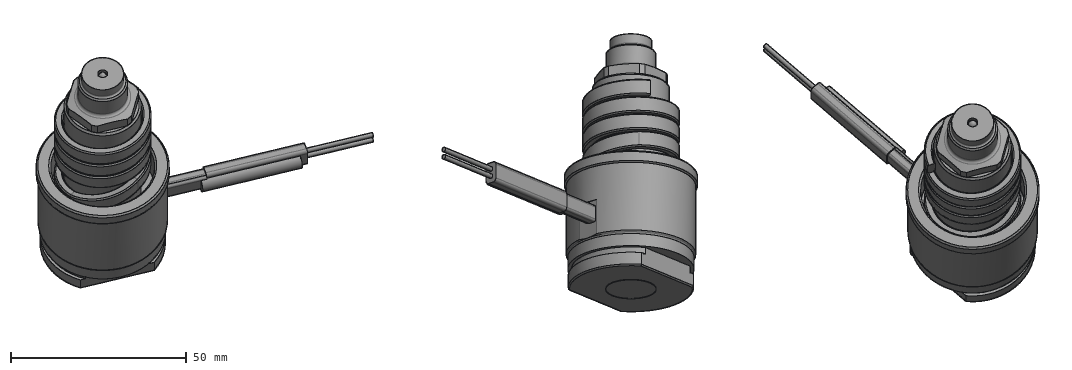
import cadquery as cq
import math

TOTAL_HEIGHT = 76.2
PAD_TOP = 0.2
BASE_DISC_TOP = 4.2
NECK_TOP = 6.2
STEP_RING_TOP = 9.9
BODY_BOTTOM = 10.4
FLANGE_BOTTOM = 32.0
FLANGE_TOP = 35.2
CORE_TOP = 62.3
CONE_BOTTOM = 65.3
CONE_TOP = 65.9
SHOULDER_LEVEL = 72.8

PAD_RADIUS = 7.2
BASE_RADIUS = 17.9
STEP_RING_RADIUS = 18.0
NECK_RADIUS = 17.0
STEP_RING_TOP_RADIUS = 18.2
BODY_RADIUS = 18.5
FLANGE_RADIUS = 19.0
CORE_RADIUS = 11.0
HEX_CORNER_RADIUS = 10.5
STEM_RADIUS = 7.1
TIP_RADIUS = 6.0

EDGE_CHAMFER = 0.4
FLANGE_CHAMFER = 0.5
CORE_CHAMFER = 0.6

BASE_FLAT_OFFSET = 14.1
BORE_RADIUS = 14.8
BORE_CHAMFER = 0.6
BORE_FLOOR = 25.0
CABLE_FLAT_OFFSET = 18.2
CABLE_FLAT_TOP = 21.3

HEX_ACROSS_FLATS = 19.0
STEM_FILLET = 0.9
STEM_CHAMFER = 0.5
TIP_FILLET = 0.6
CENTRE_HOLE_RADIUS = 1.4
BALL_RADIUS = 1.3

SPRING_OUTER_RADIUS = 13.8
SPRING_INNER_RADIUS = 11.4
SPRING_WIRE_HEIGHT = 4.8
SPRING_CHAMFER = 0.4
SPRING_TOP_LEVEL = 59.5
SPRING_TOP_ANGLE = 156.0
CLOSED_PITCH = 5.3
SPRING_STRETCHES = [
    (CLOSED_PITCH, 3.04),
    (11.0, 0.31),
    (24.0, 0.25),
    (10.0, 0.55),
]

CABLE_ROOT = 16.0
CABLE_X = -1.4
CABLE_Z = 17.2
CABLE_WIDTH = 3.0
CABLE_HEIGHT = 5.1
CABLE_FILLET = 0.7
SIDE_CABLE_SHIFT = 0.7
SIDE_CABLE_HEIGHT = 4.8
SLEEVE_WIDTH = 3.8
SLEEVE_HEIGHT = 6.2
SLEEVE_FILLET = 1.0
SLEEVE_START = 30.9
SLEEVE_END = 61.0
ROUND_SLEEVE_RADIUS = 2.3
ROUND_SLEEVE_X = 0.2
ROUND_SLEEVE_Z = 16.7
ROUND_SLEEVE_START = 29.1
ROUND_SLEEVE_END = 58.8
WIRE_RADIUS = 0.7
WIRE_SPACING = 2.2
OVERALL_LENGTH = 100.0
WIRE_END = OVERALL_LENGTH - FLANGE_RADIUS


def disc(radius, bottom, top):
    return cq.Workplane("XY", origin=(0, 0, bottom)).circle(radius).extrude(top - bottom)


def make_base():
    """Bottom pad, base disc and neck, with two parallel flats."""
    base = disc(BASE_RADIUS, PAD_TOP, BASE_DISC_TOP).union(disc(NECK_RADIUS, PAD_TOP, NECK_TOP))
    across_flats = cq.Workplane("XY").box(2 * BASE_FLAT_OFFSET, 2 * FLANGE_RADIUS, 2 * NECK_TOP)
    base = base.intersect(across_flats).faces("<Z").chamfer(EDGE_CHAMFER)
    return base.union(disc(PAD_RADIUS, 0, PAD_TOP))


def make_housing():
    """Cup with a flange at its mouth, stepped bottom and a shallow flat at the cable outlet."""
    flange_edge = FLANGE_RADIUS - FLANGE_CHAMFER
    outline = [
        (0, NECK_TOP),
        (STEP_RING_RADIUS, NECK_TOP),
        (STEP_RING_RADIUS, STEP_RING_TOP),
        (STEP_RING_TOP_RADIUS, BODY_BOTTOM),
        (BODY_RADIUS, BODY_BOTTOM + EDGE_CHAMFER),
        (BODY_RADIUS, FLANGE_BOTTOM - EDGE_CHAMFER),
        (FLANGE_RADIUS, FLANGE_BOTTOM),
        (FLANGE_RADIUS, FLANGE_TOP - FLANGE_CHAMFER),
        (flange_edge, FLANGE_TOP),
        (BORE_RADIUS + BORE_CHAMFER, FLANGE_TOP),
        (BORE_RADIUS, FLANGE_TOP - BORE_CHAMFER),
        (BORE_RADIUS, BORE_FLOOR),
        (0, BORE_FLOOR),
    ]
    housing = cq.Workplane("XZ").polyline(outline).close().revolve(360, (0, 0), (0, 1))
    flat_cut = cq.Workplane("XY").box(
        2 * BODY_RADIUS, BODY_RADIUS, CABLE_FLAT_TOP - BODY_BOTTOM, centered=(True, False, False)
    )
    return housing.cut(flat_cut.translate((0, CABLE_FLAT_OFFSET, BODY_BOTTOM)))


def make_core():
    """Cylinder inside the spring, carrying the hexagon and the stepped stem."""
    core = disc(CORE_RADIUS, BORE_FLOOR, CORE_TOP).faces(">Z").chamfer(CORE_CHAMFER)

    hexagon_diameter = HEX_ACROSS_FLATS / math.cos(math.radians(30))
    hexagon = (
        cq.Workplane("XY", origin=(0, 0, CORE_TOP))
        .polygon(6, hexagon_diameter)
        .extrude(CONE_TOP - CORE_TOP)
        .rotate((0, 0, 0), (0, 0, 1), 30)
    )
    cone_radius = STEM_RADIUS + STEM_FILLET
    blank = (
        cq.Workplane("XZ")
        .moveTo(0, CORE_TOP)
        .lineTo(HEX_CORNER_RADIUS, CORE_TOP)
        .lineTo(HEX_CORNER_RADIUS, CONE_BOTTOM)
        .lineTo(cone_radius, CONE_TOP)
        .lineTo(0, CONE_TOP)
        .close()
        .revolve(360, (0, 0), (0, 1))
    )
    return core.union(hexagon.intersect(blank))


def make_stem():
    """Stem and smaller tip, each with a fillet at its foot, and a ball seated in a centre hole."""
    ball_level = TOTAL_HEIGHT - BALL_RADIUS
    diagonal = math.sqrt(0.5)
    corner = 1 - diagonal
    return (
        cq.Workplane("XZ")
        .moveTo(0, CONE_TOP)
        .lineTo(STEM_RADIUS + STEM_FILLET, CONE_TOP)
        .threePointArc(
            (STEM_RADIUS + corner * STEM_FILLET, CONE_TOP + corner * STEM_FILLET),
            (STEM_RADIUS, CONE_TOP + STEM_FILLET),
        )
        .lineTo(STEM_RADIUS, SHOULDER_LEVEL - STEM_CHAMFER)
        .lineTo(TIP_RADIUS + TIP_FILLET, SHOULDER_LEVEL)
        .threePointArc(
            (TIP_RADIUS + corner * TIP_FILLET, SHOULDER_LEVEL + corner * TIP_FILLET),
            (TIP_RADIUS, SHOULDER_LEVEL + TIP_FILLET),
        )
        .lineTo(TIP_RADIUS, TOTAL_HEIGHT)
        .lineTo(CENTRE_HOLE_RADIUS, TOTAL_HEIGHT)
        .lineTo(CENTRE_HOLE_RADIUS, ball_level)
        .lineTo(BALL_RADIUS, ball_level)
        .threePointArc(
            (BALL_RADIUS * diagonal, ball_level + BALL_RADIUS * diagonal),
            (0, TOTAL_HEIGHT),
        )
        .close()
        .revolve(360, (0, 0), (0, 1))
    )


def make_coil(pitch, turns, end_angle, end_top):
    """Rising right-handed coil whose upper end has its top at end_top and lies at end_angle degrees."""
    rise = pitch * turns
    start_angle = end_angle - 360 * turns
    path = cq.Workplane(cq.Wire.makeHelix(pitch, rise, SPRING_OUTER_RADIUS))
    middle_radius = (SPRING_OUTER_RADIUS + SPRING_INNER_RADIUS) / 2
    half_width = (SPRING_OUTER_RADIUS - SPRING_INNER_RADIUS) / 2
    half_height = SPRING_WIRE_HEIGHT / 2
    flat_width = half_width - SPRING_CHAMFER
    flat_height = half_height - SPRING_CHAMFER
    section = [
        (half_width, -flat_height),
        (half_width, flat_height),
        (flat_width, half_height),
        (-flat_width, half_height),
        (-half_width, flat_height),
        (-half_width, -flat_height),
        (-flat_width, -half_height),
        (flat_width, -half_height),
    ]
    coil = (
        cq.Workplane("XZ", origin=(middle_radius, 0, 0))
        .polyline(section)
        .close()
        .sweep(path, isFrenet=True)
    )
    coil = coil.rotate((0, 0, 0), (0, 0, 1), start_angle)
    return coil.translate((0, 0, end_top - half_height - rise))


def make_spring():
    """Coil stretches joined end to end, working down from the upper end."""
    spring = cq.Workplane("XY")
    angle = SPRING_TOP_ANGLE
    top = SPRING_TOP_LEVEL
    for pitch, turns in SPRING_STRETCHES:
        spring = spring.union(make_coil(pitch, turns, angle, top))
        angle -= 360 * turns
        top -= pitch * turns
    return spring


def rounded_bar(x, width, height, fillet, start, end):
    """Rounded rectangular bar along Y, centred on the cable height."""
    bar = cq.Workplane("XY").box(width, end - start, height).edges("|Y").fillet(fillet)
    return bar.translate((x, (start + end) / 2, CABLE_Z))


def rod(x, z, radius, start, end):
    """Round bar along Y."""
    return cq.Workplane("XZ", origin=(x, start, z)).circle(radius).extrude(start - end)


def make_cable():
    cable = rounded_bar(CABLE_X, CABLE_WIDTH, CABLE_HEIGHT, CABLE_FILLET, CABLE_ROOT, SLEEVE_END)
    side_cable = rounded_bar(
        CABLE_X + SIDE_CABLE_SHIFT,
        CABLE_WIDTH,
        SIDE_CABLE_HEIGHT,
        CABLE_FILLET,
        CABLE_ROOT,
        SLEEVE_START,
    )
    sleeve = rounded_bar(
        CABLE_X, SLEEVE_WIDTH, SLEEVE_HEIGHT, SLEEVE_FILLET, SLEEVE_START, SLEEVE_END
    )
    round_sleeve = rod(
        ROUND_SLEEVE_X, ROUND_SLEEVE_Z, ROUND_SLEEVE_RADIUS, ROUND_SLEEVE_START, ROUND_SLEEVE_END
    )
    assembly = cable.union(side_cable).union(sleeve).union(round_sleeve)
    for side in (-1, 1):
        wire_z = CABLE_Z + side * WIRE_SPACING / 2
        assembly = assembly.union(rod(CABLE_X, wire_z, WIRE_RADIUS, SLEEVE_START, WIRE_END))
    return assembly


body = make_base().union(make_housing()).union(make_core()).union(make_stem())
result = body.union(make_cable()).union(make_spring())